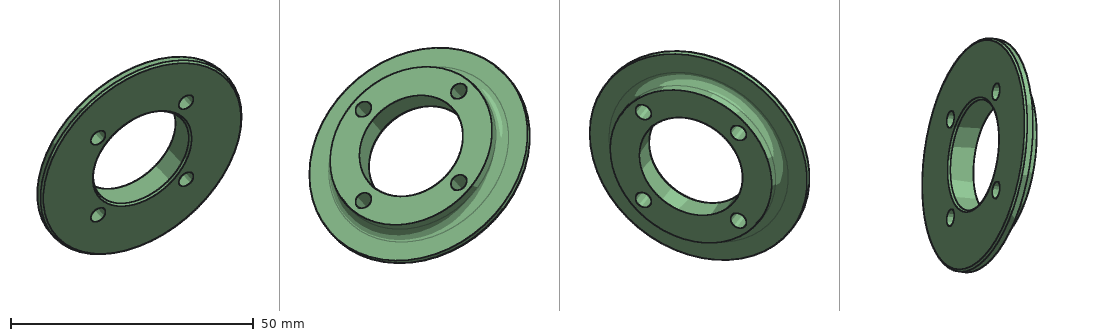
import cadquery as cq

flange_diameter = 48.5
total_length = 5.7
flange_thickness = 1.75
edge_chamfer = 0.45

hub_diameter = 36.0
hub_length = total_length - flange_thickness
hub_fillet = 2.0

bore_diameter = 23.0
hole_diameter = 3.5
hole_spacing = 21.2


def make_body():
    """Hub at -X filleted into the flange at +X, whose back rim is chamfered."""
    hub = cq.Workplane("YZ").circle(hub_diameter / 2).extrude(hub_length)
    flange = (
        cq.Workplane("YZ", origin=(hub_length, 0, 0))
        .circle(flange_diameter / 2)
        .extrude(flange_thickness)
        .faces(">X")
        .edges()
        .chamfer(edge_chamfer)
    )
    inner_circle = cq.selectors.RadiusNthSelector(0)
    return hub.union(flange).faces("<X[1]").edges(inner_circle).fillet(hub_fillet)


def cut_bore(body):
    """Through bore with its edge on the back face chamfered."""
    bore = cq.Workplane("YZ").circle(bore_diameter / 2).extrude(total_length)
    inner_circle = cq.selectors.RadiusNthSelector(0)
    return body.cut(bore).faces(">X").edges(inner_circle).chamfer(edge_chamfer)


def make_screw_holes():
    """Four through holes centred on the corners of a square."""
    return (
        cq.Workplane("YZ")
        .rect(hole_spacing, hole_spacing, forConstruction=True)
        .vertices()
        .circle(hole_diameter / 2)
        .extrude(total_length)
    )


result = cut_bore(make_body()).cut(make_screw_holes())